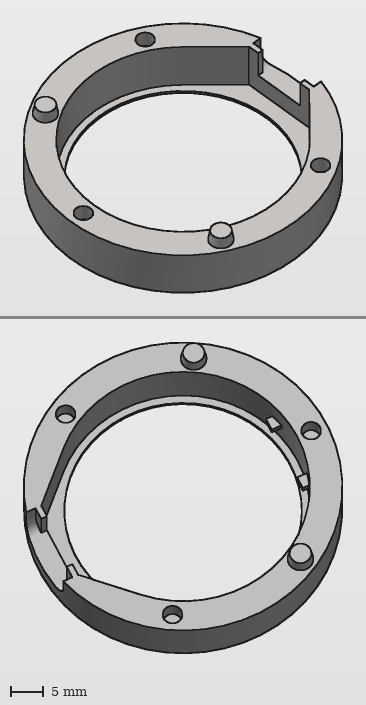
import cadquery as cq
import math

outer_diameter = 49.0
body_height = 9.0
bottom_round = 1.0
floor_thickness = 0.5
floor_bore_diameter = 36.5
cavity_radius = 19.5

flat_half_width = 6.5
side_slope = math.radians(45)
tangent_offset = cavity_radius * math.cos(side_slope)
flat_y = 2 * tangent_offset - flat_half_width

window_sill = 4.0
window_half_width = 4.5
tab_width = flat_half_width - window_half_width
tab_thickness = 1.0

lug_front_y = -17.3
lug_thickness = 1.0

pin_circle_radius = 21.85
pin_base_diameter = 3.95
pin_top_diameter = 3.35
pin_height = 1.95
socket_diameter = 3.0
socket_depth = 3.0
pin_angles = (-30, -150)
socket_angles = (30, 150, -90)


def at_angle(angle):
    """Point on the pin circle."""
    turn = math.radians(angle)
    return pin_circle_radius * math.cos(turn), pin_circle_radius * math.sin(turn)


def ring_blank():
    disc = cq.Workplane("XY").circle(outer_diameter / 2).extrude(body_height)
    disc = disc.faces("<Z").edges().fillet(bottom_round)
    return disc.faces(">Z").workplane().hole(floor_bore_diameter)


def cavity():
    """Round on the -Y side, with two slanted sides and a flat on the +Y side."""
    return (
        cq.Workplane("XY", origin=(0, 0, floor_thickness))
        .moveTo(-tangent_offset, tangent_offset)
        .lineTo(-flat_half_width, flat_y)
        .lineTo(flat_half_width, flat_y)
        .lineTo(tangent_offset, tangent_offset)
        .threePointArc((0, -cavity_radius), (-tangent_offset, tangent_offset))
        .close()
        .extrude(body_height)
    )


def window():
    """Narrow opening past the tabs, then a wider one with rounded lower corners."""
    height = body_height - window_sill
    wall_depth = outer_diameter / 2 - flat_y
    narrow = cq.Workplane("XY").box(
        2 * window_half_width, wall_depth, height, centered=(True, False, False)
    )
    wide = cq.Workplane("XY").box(
        2 * flat_half_width, wall_depth - tab_thickness, height, centered=(True, False, False)
    )
    wide = wide.edges("|Y and <Z").fillet(tab_width)
    wide = wide.translate((0, tab_thickness, 0))
    return narrow.union(wide).translate((0, flat_y, window_sill))


def lugs():
    """Blocks that stick out of the cavity wall, reaching past the edge of the floor bore."""
    lug_depth = cavity_radius + lug_front_y
    centre_x = (window_half_width + flat_half_width) / 2
    centre_y = lug_front_y - lug_depth / 2
    return (
        cq.Workplane("XY", origin=(0, 0, window_sill))
        .pushPoints([(-centre_x, centre_y), (centre_x, centre_y)])
        .rect(tab_width, lug_depth)
        .extrude(lug_thickness)
    )


def pin(angle):
    x, y = at_angle(angle)
    return (
        cq.Workplane("XY", origin=(x, y, body_height))
        .circle(pin_base_diameter / 2)
        .workplane(offset=pin_height)
        .circle(pin_top_diameter / 2)
        .loft(ruled=True)
    )


def sockets():
    return (
        cq.Workplane("XY", origin=(0, 0, body_height - socket_depth))
        .pushPoints([at_angle(angle) for angle in socket_angles])
        .circle(socket_diameter / 2)
        .extrude(socket_depth)
    )


result = ring_blank().cut(cavity()).cut(window()).cut(sockets()).union(lugs())
for angle in pin_angles:
    result = result.union(pin(angle))